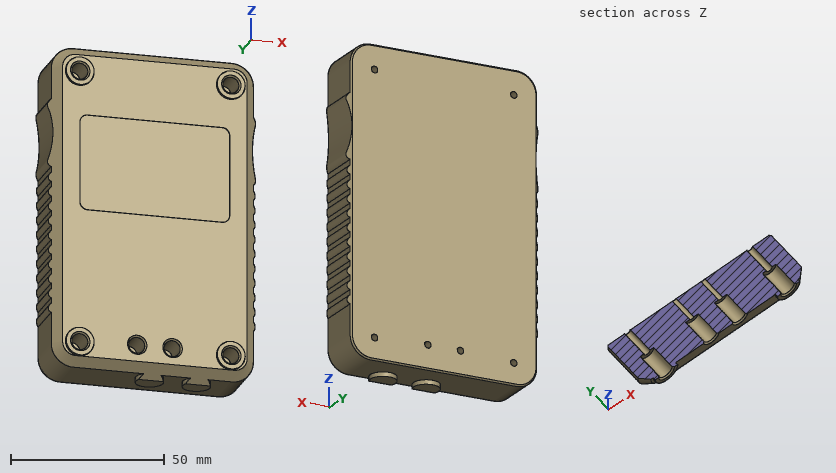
import cadquery as cq
import math


WIDTH = 68.4
HEIGHT = 109.5
DEPTH = 19.2
CORNER_RADIUS = 7.4
FRONT_CHAMFER = 3.0
BACK_CHAMFER = 0.5
HALF_WIDTH = WIDTH / 2

GRIP_CENTRE_Z = 80.0
GRIP_HALF_LENGTH = 11.7
GRIP_CREST_OFFSET = 9.5
WIDTH_OVER_CRESTS = 70.5
GRIP_CREST_X = WIDTH_OVER_CRESTS / 2
GRIP_HOLLOW_X = 33.8

RIB_COUNT = 10
RIB_PITCH = 5.0
RIB_WIDTH = 3.2
RIB_HEIGHT = 0.8
TOP_RIB_Z = 64.8

PAD_DIAMETER = 9.4
PAD_HEIGHT = 1.0
PAD_X = 25.5
PAD_BOTTOM_Z = 7.8
PAD_TOP_Z = 100.8
HOLE_DIAMETER = 2.3
SINK_DIAMETER = 5.4
SINK_DEPTH = 10.0
SINK_CHAMFER = 0.5

LOWER_HOLE_X = 6.0
LOWER_HOLE_Z = 8.7

LABEL_WIDTH = 50.7
LABEL_BOTTOM_Z = 53.5
LABEL_TOP_Z = 86.1
LABEL_RADIUS = 2.5
LABEL_DEPTH = 0.2

COLLAR_DIAMETER = 9.2
COLLAR_LENGTH = 1.5
COLLAR_Y = 6.5
COLLAR_XS = (0, 15.9)


def front_plane(y):
    """Sketch plane facing -Y, with local x along X and local y along Z."""
    return cq.Workplane("XZ", origin=(0, y, 0))


def case_body():
    body = (
        front_plane(DEPTH)
        .center(0, HEIGHT / 2)
        .rect(WIDTH, HEIGHT)
        .extrude(DEPTH)
        .edges("|Y")
        .fillet(CORNER_RADIUS)
    )
    body = body.faces("<Y").chamfer(FRONT_CHAMFER)
    return body.faces(">Y").chamfer(BACK_CHAMFER)


def side_envelope():
    """Prism whose slopes carry the front and back side chamfers out past the body's sides."""
    reach = GRIP_CREST_X - HALF_WIDTH
    right_side = [
        (HALF_WIDTH - FRONT_CHAMFER, 0),
        (GRIP_CREST_X, FRONT_CHAMFER + reach),
        (GRIP_CREST_X, DEPTH - BACK_CHAMFER - reach),
        (HALF_WIDTH - BACK_CHAMFER, DEPTH),
    ]
    left_side = [(-x, y) for x, y in reversed(right_side)]
    return cq.Workplane("XY").polyline(right_side + left_side).close().extrude(HEIGHT)


def crest_midpoint(direction):
    """Point halfway along the crest arc, which leaves the crest parallel to the side."""
    run = GRIP_HALF_LENGTH - GRIP_CREST_OFFSET
    rise = GRIP_CREST_X - HALF_WIDTH
    radius = (run**2 + rise**2) / (2 * rise)
    half_angle = math.asin(run / radius) / 2
    x = GRIP_CREST_X - radius * (1 - math.cos(half_angle))
    z = GRIP_CREST_OFFSET + radius * math.sin(half_angle)
    return x, GRIP_CENTRE_Z + direction * z


def right_thumb_grip():
    """Thumb grip before its hollow is cut: a pad with rounded ends."""
    inner_x = HALF_WIDTH - FRONT_CHAMFER
    top = GRIP_CENTRE_Z + GRIP_HALF_LENGTH
    bottom = GRIP_CENTRE_Z - GRIP_HALF_LENGTH
    return (
        front_plane(DEPTH)
        .moveTo(inner_x, bottom)
        .lineTo(HALF_WIDTH, bottom)
        .threePointArc(crest_midpoint(-1), (GRIP_CREST_X, GRIP_CENTRE_Z - GRIP_CREST_OFFSET))
        .lineTo(GRIP_CREST_X, GRIP_CENTRE_Z + GRIP_CREST_OFFSET)
        .threePointArc(crest_midpoint(1), (HALF_WIDTH, top))
        .lineTo(inner_x, top)
        .close()
        .extrude(DEPTH)
    )


def right_hollow():
    """Shallow round hollow between the crests, dipping slightly below the body's side."""
    bottom = (GRIP_CREST_X, GRIP_CENTRE_Z - GRIP_CREST_OFFSET)
    top = (GRIP_CREST_X, GRIP_CENTRE_Z + GRIP_CREST_OFFSET)
    return (
        front_plane(DEPTH)
        .moveTo(*bottom)
        .threePointArc((GRIP_HOLLOW_X, GRIP_CENTRE_Z), top)
        .close()
        .extrude(DEPTH)
    )


def right_rib(z):
    inner_x = HALF_WIDTH - FRONT_CHAMFER
    top = z + RIB_WIDTH / 2
    bottom = z - RIB_WIDTH / 2
    return (
        front_plane(DEPTH)
        .moveTo(inner_x, bottom)
        .lineTo(HALF_WIDTH, bottom)
        .threePointArc((HALF_WIDTH + RIB_HEIGHT, z), (HALF_WIDTH, top))
        .lineTo(inner_x, top)
        .close()
        .extrude(DEPTH)
    )


def both_sides(right_feature):
    return right_feature.union(right_feature.mirror("YZ"))


def side_grips():
    grips = right_thumb_grip()
    for index in range(RIB_COUNT):
        grips = grips.union(right_rib(TOP_RIB_Z - index * RIB_PITCH))
    return both_sides(grips).intersect(side_envelope())


def foot_pads(points):
    return front_plane(0).pushPoints(points).circle(PAD_DIAMETER / 2).extrude(PAD_HEIGHT)


def collars():
    """Round collars under the bottom end, cut off by the plane of the bottom front chamfer."""
    centres = [(x, COLLAR_Y) for x in COLLAR_XS]
    posts = (
        cq.Workplane("XY", origin=(0, 0, -COLLAR_LENGTH))
        .pushPoints(centres)
        .circle(COLLAR_DIAMETER / 2)
        .extrude(COLLAR_LENGTH + FRONT_CHAMFER)
    )
    behind_chamfer = (
        cq.Workplane("YZ")
        .polyline([
            (FRONT_CHAMFER + COLLAR_LENGTH, -COLLAR_LENGTH),
            (0, FRONT_CHAMFER),
            (DEPTH, FRONT_CHAMFER),
            (DEPTH, -COLLAR_LENGTH),
        ])
        .close()
        .extrude(HALF_WIDTH, both=True)
    )
    return posts.intersect(behind_chamfer)


def sunk_holes(points, mouth_y):
    """Through holes, each at the floor of a wider sink with a chamfered mouth at mouth_y."""
    mouths = front_plane(mouth_y).pushPoints(points)
    sinks = mouths.circle(SINK_DIAMETER / 2).extrude(-SINK_DEPTH)
    bores = mouths.circle(HOLE_DIAMETER / 2).extrude(mouth_y - DEPTH)
    mouth_cones = mouths.circle(SINK_DIAMETER / 2 + SINK_CHAMFER).extrude(-SINK_CHAMFER, taper=45)
    return sinks.union(bores).union(mouth_cones)


def label_recess():
    label_height = LABEL_TOP_Z - LABEL_BOTTOM_Z
    return (
        front_plane(LABEL_DEPTH)
        .center(0, LABEL_BOTTOM_Z + label_height / 2)
        .rect(LABEL_WIDTH, label_height)
        .extrude(LABEL_DEPTH)
        .edges("|Y")
        .fillet(LABEL_RADIUS)
    )


pad_points = [(x, z) for x in (-PAD_X, PAD_X) for z in (PAD_BOTTOM_Z, PAD_TOP_Z)]
lower_hole_points = [(x, LOWER_HOLE_Z) for x in (-LOWER_HOLE_X, LOWER_HOLE_X)]

result = (
    case_body()
    .union(side_grips())
    .cut(both_sides(right_hollow()))
    .union(foot_pads(pad_points))
    .union(collars())
    .cut(label_recess())
    .cut(sunk_holes(pad_points, -PAD_HEIGHT))
    .cut(sunk_holes(lower_hole_points, 0))
)